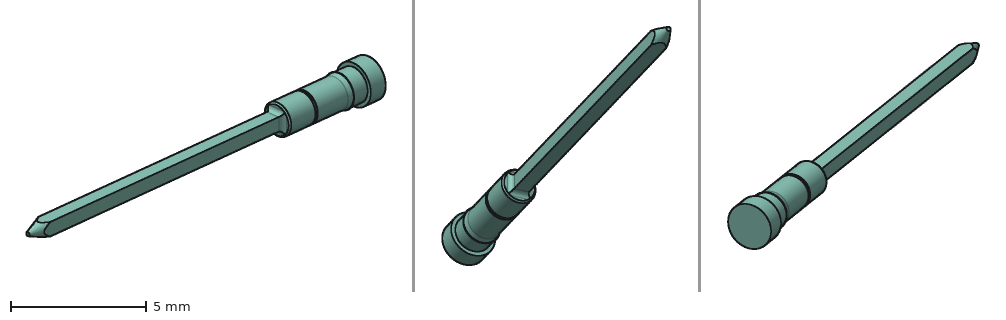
import cadquery as cq
import math

total_length = 17.85
head_face_y = total_length / 2

head_diameter = 1.8
head_length = 0.79
collar_diameter = 1.46
ridge_diameter = 1.52
ridge_depth = 1.52
body_diameter = 1.4
body_start_depth = 1.78

groove_depth = 3.35
groove_width = 0.1
groove_diameter = 1.35

body_end_depth = 4.82
body_end_chamfer = 0.07

shaft_width = 0.6
flare_radius = 0.2

tip_diameter = 0.18
tip_slope = 0.39


def revolve_about_y(depth_radius_points):
    """Solid of revolution about Y from (depth, radius) outline points."""
    first_depth = depth_radius_points[0][0]
    last_depth = depth_radius_points[-1][0]
    outline = [(0, first_depth), *[(r, d) for d, r in depth_radius_points], (0, last_depth)]
    placed = [(r, head_face_y - d) for r, d in outline]
    return cq.Workplane("XY").polyline(placed).close().revolve(360, (0, 0), (0, 1))


def cross_section(depth):
    """Workplane across the pin at a depth, with its normal toward the tip."""
    return cq.Workplane("XZ", origin=(0, head_face_y - depth, 0))


def make_round_body():
    """Head, collar, ridge and grooved body turned about the pin axis."""
    head_radius = head_diameter / 2
    collar_radius = collar_diameter / 2
    body_radius = body_diameter / 2
    groove_radius = groove_diameter / 2
    groove_end_depth = groove_depth + groove_width
    return revolve_about_y([
        (0, head_radius),
        (head_length, head_radius),
        (head_length, collar_radius),
        (ridge_depth, collar_radius),
        (ridge_depth, ridge_diameter / 2),
        (body_start_depth, body_radius),
        (groove_depth, body_radius),
        (groove_depth, groove_radius),
        (groove_end_depth, groove_radius),
        (groove_end_depth, body_radius),
        (body_end_depth - body_end_chamfer, body_radius),
        (body_end_depth, body_radius - body_end_chamfer),
    ])


def make_flare():
    """Concave flare from the square shaft out to the end face of the round body."""
    half_shaft = shaft_width / 2
    half_flare = half_shaft + flare_radius
    flare_start_y = head_face_y - body_end_depth
    flare_end_y = flare_start_y - flare_radius
    arc_sag = flare_radius * (1 - math.sqrt(0.5))
    profile = (
        cq.Workplane("XY")
        .moveTo(-half_flare, flare_start_y)
        .lineTo(half_flare, flare_start_y)
        .threePointArc((half_shaft + arc_sag, flare_start_y - arc_sag), (half_shaft, flare_end_y))
        .lineTo(-half_shaft, flare_end_y)
        .threePointArc((-half_shaft - arc_sag, flare_start_y - arc_sag), (-half_flare, flare_start_y))
        .close()
        .extrude(half_flare, both=True)
    )
    turned_profile = profile.rotate((0, 0, 0), (0, 1, 0), 90)
    end_face_diameter = body_diameter - 2 * body_end_chamfer
    end_face_column = cross_section(body_end_depth).circle(end_face_diameter / 2).extrude(flare_radius)
    return profile.intersect(turned_profile).intersect(end_face_column)


def make_shaft():
    """Square shaft, trimmed by a cone to a blunt point."""
    shaft_length = total_length - body_end_depth
    shaft = cross_section(body_end_depth).rect(shaft_width, shaft_width).extrude(shaft_length)
    tip_radius = tip_diameter / 2
    cone = revolve_about_y([
        (body_end_depth, tip_radius + tip_slope * shaft_length),
        (total_length, tip_radius),
    ])
    return shaft.intersect(cone)


result = make_round_body().union(make_flare()).union(make_shaft())